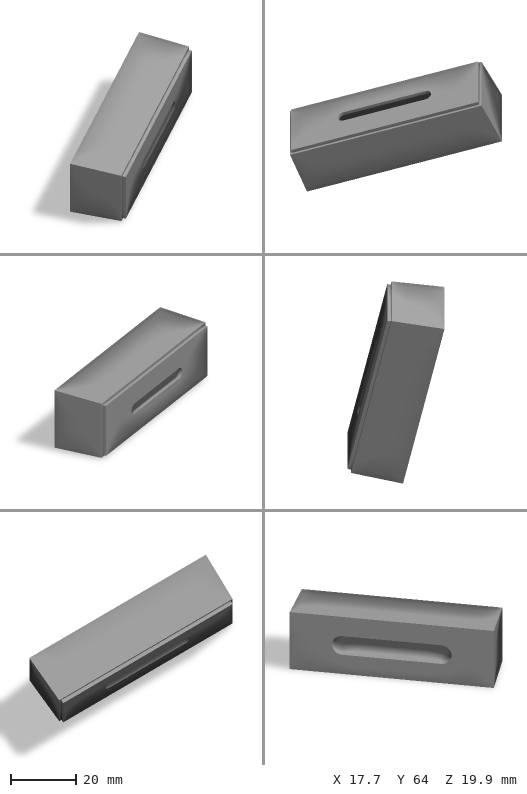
import cadquery as cq

block_length = 64.0
block_height = 19.91
block_depth = 16.5
block_draft = 2.0

pad_thickness = 1.2
pad_margin = 1.3
pad_length = block_length - 2 * pad_margin
pad_height = block_height - 2 * pad_margin

pocket_length = 37.5
pocket_width = 6.5
pocket_depth = block_depth
pocket_draft = 0.5

slot_length = 30.5
slot_width = 3.5

total_depth = block_depth + pad_thickness


def make_block():
    """Block that narrows along +X."""
    return (
        cq.Workplane("YZ")
        .rect(block_length, block_height)
        .extrude(block_depth, taper=block_draft)
    )


def make_pad():
    """Straight-sided pad on the narrow end of the block."""
    return (
        cq.Workplane("YZ", origin=(block_depth, 0, 0))
        .rect(pad_length, pad_height)
        .extrude(pad_thickness)
    )


def make_slot_cutter(length, width, depth, draft=0.0):
    """Round-ended cutter reaching inward from the broad end."""
    return cq.Workplane("YZ").slot2D(length, width).extrude(depth, taper=draft)


pocket = make_slot_cutter(pocket_length, pocket_width, pocket_depth, pocket_draft)
through_slot = make_slot_cutter(slot_length, slot_width, total_depth)

result = make_block().union(make_pad()).cut(pocket).cut(through_slot)